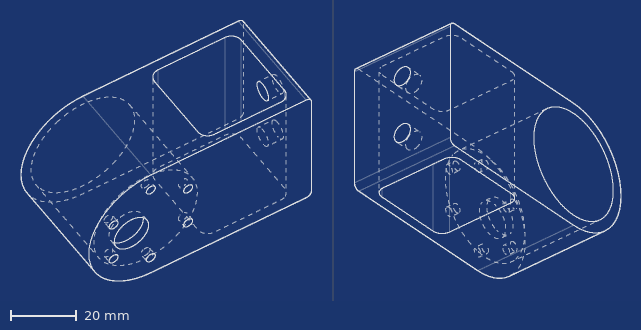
import cadquery as cq

width = 38.0
length = 80.4
height = 44.8
end_radius = height / 2
back_y = length - end_radius
back_edge_size = 2.0

bore_diameter = 37.4
plate_thickness = 3.0
shaft_hole_diameter = 12.4
shaft_offset = 7.0
screw_hole_diameter = 3.2
screw_circle_radius = 15.5
screw_count = 6

socket_side = 31.2
socket_corner_radius = 3.5
back_wall = 5.4
socket_center_y = back_y - back_wall - socket_side / 2

cross_hole_diameter = 6.4
cross_hole_edge_distance = 12.0
cross_hole_spacing = height - 2 * cross_hole_edge_distance


def make_body():
    """Block with a round end and rounded back edges."""
    block = (
        cq.Workplane("XY")
        .box(width, back_y, height)
        .translate((0, back_y / 2, 0))
        .edges("|X and >Y")
        .fillet(back_edge_size)
    )
    round_end = cq.Workplane("YZ").circle(end_radius).extrude(width / 2, both=True)
    return block.union(round_end)


def make_motor_seat():
    """Blind bore with the shaft and screw holes through its end plate."""
    bore = (
        cq.Workplane("YZ", origin=(-width / 2, 0, 0))
        .circle(bore_diameter / 2)
        .extrude(width - plate_thickness)
    )
    shaft_hole = (
        cq.Workplane("YZ")
        .center(-shaft_offset, 0)
        .circle(shaft_hole_diameter / 2)
        .extrude(width / 2)
    )
    screw_holes = (
        cq.Workplane("YZ")
        .polarArray(screw_circle_radius, 90, 360, screw_count)
        .circle(screw_hole_diameter / 2)
        .extrude(width / 2)
    )
    return bore.union(shaft_hole).union(screw_holes)


def make_socket():
    """Square through-opening with rounded corners."""
    return (
        cq.Workplane("XY")
        .center(0, socket_center_y)
        .rect(socket_side, socket_side)
        .extrude(height / 2, both=True)
        .edges("|Z")
        .fillet(socket_corner_radius)
    )


def make_cross_holes():
    """Pair of round holes from the socket out through the back wall."""
    return (
        cq.Workplane("XZ", origin=(0, back_y, 0))
        .rarray(0.8, cross_hole_spacing, 1, 2)
        .circle(cross_hole_diameter / 2)
        .extrude(back_wall)
    )


result = make_body().cut(make_motor_seat()).cut(make_socket()).cut(make_cross_holes())